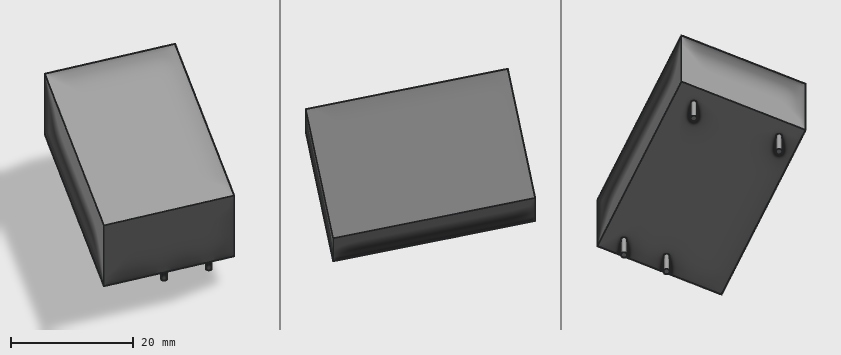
import cadquery as cq

housing_length = 33.7
housing_width = 22.2
housing_height = 15.5

pin_diameter = 1.0
pin_length = 5.1
pin_row_x = 14.0
pin_pitch = 7.6

pin_positions = [
    (-pin_row_x, -pin_pitch),
    (-pin_row_x, pin_pitch),
    (pin_row_x, 0),
    (pin_row_x, pin_pitch),
]


def make_housing():
    """Plain block standing on the XY plane."""
    return cq.Workplane("XY").box(
        housing_length, housing_width, housing_height, centered=(True, True, False)
    )


def make_pin(x, y):
    """Round pin hanging down from the underside of the housing."""
    return cq.Workplane("XY").center(x, y).circle(pin_diameter / 2).extrude(-pin_length)


housing = make_housing()
pins = [make_pin(x, y) for x, y in pin_positions]

result = cq.Compound.makeCompound([housing.val(), *[pin.val() for pin in pins]])